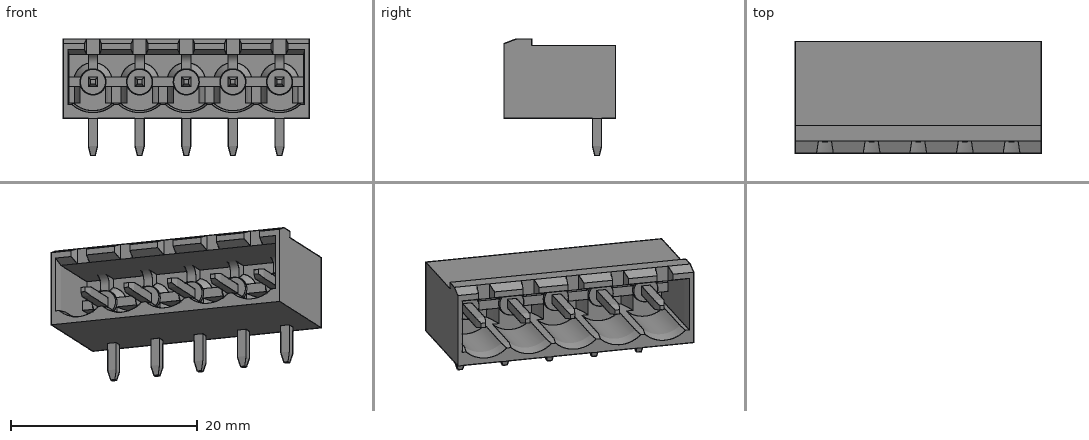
import cadquery as cq
import math

pin_count = 5
pitch = 5.0

housing_length = 26.4
housing_depth = 12.0
housing_height = 7.8
lip_height = 8.5
lip_depth = 3.0
lip_bevel_depth = 1.3
lip_bevel_drop = 0.5

mouth_side_wall = 0.5
mouth_floor_z = 1.5
mouth_ceiling_z = 7.35
lead_in_depth = 1.3
side_draft = 0.12
ceiling_drop = 0.5
cavity_depth = 8.7
cavity_floor_z = mouth_floor_z + side_draft
cavity_ceiling_z = mouth_ceiling_z - ceiling_drop
mouth_length = housing_length - 2 * mouth_side_wall
cavity_length = mouth_length - 2 * side_draft

channel_mouth_radius = 3.3
channel_radius = 3.08

pin_width = 1.0
pin_tip_width = 0.5
pin_taper = 1.0
pin_axis_z = 3.9
pin_tip_y = 1.2
leg_y = 10.0
leg_length = 4.0

support_front_y = 7.5
boss_front_y = 7.2
boss_nose_radius = 1.35
boss_radius = 1.4
boss_base_radius = 2.07
pillar_front_width = 2.74
pillar_middle_width = 3.24
pillar_back_width = 4.0
bar_height = 1.04
rib_width = 1.0
rib_curve_radius = 0.95
recess_depth = 9.9
recess_ceiling_z = pin_axis_z - bar_height / 2

notch_mouth_width = 1.8
notch_back_width = 1.4

pin_positions = [(i - (pin_count - 1) / 2) * pitch for i in range(pin_count)]


def box(x_range, y_range, z_range):
    """Axis-aligned box spanning the given (low, high) ranges."""
    spans = (x_range, y_range, z_range)
    size = [high - low for low, high in spans]
    corner = [low for low, high in spans]
    return cq.Workplane("XY").box(*size, centered=False).translate(tuple(corner))


def centered(width, middle=0.0):
    """Range of the given width about a middle position."""
    return (middle - width / 2, middle + width / 2)


def cylinder(x, radius, y_start, y_end):
    """Cylinder about a pin axis, running in +Y."""
    axis = cq.Vector(0, 1, 0)
    start = cq.Vector(x, y_start, pin_axis_z)
    return cq.Workplane(cq.Solid.makeCylinder(radius, y_end - y_start, start, axis))


def cone(x, start_radius, end_radius, y_start, y_end):
    """Cone about a pin axis, running in +Y."""
    axis = cq.Vector(0, 1, 0)
    start = cq.Vector(x, y_start, pin_axis_z)
    return cq.Workplane(cq.Solid.makeCone(start_radius, end_radius, y_end - y_start, start, axis))


def make_shell():
    """Housing block with the raised, bevelled lip along its front top edge."""
    profile = [
        (0, 0),
        (housing_depth, 0),
        (housing_depth, housing_height),
        (lip_depth, housing_height),
        (lip_depth, lip_height),
        (lip_bevel_depth, lip_height),
        (0, lip_height - lip_bevel_drop),
    ]
    return cq.Workplane("YZ").polyline(profile).close().extrude(housing_length / 2, both=True)


def make_cavity():
    """Plug cavity: tapered mouth followed by a straight pocket."""
    mouth_middle_z = (mouth_floor_z + mouth_ceiling_z) / 2
    cavity_middle_z = (cavity_floor_z + cavity_ceiling_z) / 2
    mouth = (
        cq.Workplane("XZ")
        .center(0, mouth_middle_z)
        .rect(mouth_length, mouth_ceiling_z - mouth_floor_z)
        .workplane(offset=-lead_in_depth)
        .center(0, cavity_middle_z - mouth_middle_z)
        .rect(cavity_length, cavity_ceiling_z - cavity_floor_z)
        .loft(ruled=True)
    )
    pocket = box(
        centered(cavity_length),
        (lead_in_depth, cavity_depth),
        (cavity_floor_z, cavity_ceiling_z),
    )
    return mouth.union(pocket)


def make_channel(x):
    """Round channel along a pin axis, kept below the axis so it only cuts the floor."""
    mouth = cone(x, channel_mouth_radius, channel_radius, 0, lead_in_depth)
    channel = mouth.union(cylinder(x, channel_radius, lead_in_depth, support_front_y))
    below_axis = box(centered(pitch, x), (0, support_front_y), (0, (cavity_floor_z + pin_axis_z) / 2))
    return channel.intersect(below_axis)


def make_notch(x):
    """Key notch through the lip, narrowing towards the back."""
    mouth = notch_mouth_width / 2
    back = notch_back_width / 2
    outline = [(x - mouth, 0), (x + mouth, 0), (x + back, lip_bevel_depth), (x - back, lip_bevel_depth)]
    base_z = (cavity_ceiling_z + pin_axis_z) / 2
    return cq.Workplane("XY").workplane(offset=base_z).polyline(outline).close().extrude(lip_height - base_z)


def make_boss(x):
    """Boss around a pin: short, slightly drafted nose on a conical root that only exists above the axis."""
    above_axis = box(centered(pitch, x), (support_front_y, cavity_depth), (pin_axis_z, cavity_ceiling_z))
    root = cone(x, boss_radius, boss_base_radius, support_front_y, cavity_depth).intersect(above_axis)
    return root.union(cone(x, boss_nose_radius, boss_radius, boss_front_y, support_front_y))


def make_pillar(x):
    """Pillar carrying a boss from the recess floor, flaring in two steps towards the back."""
    sections = [
        (pillar_front_width / 2, support_front_y),
        (pillar_middle_width / 2, cavity_depth),
        (pillar_back_width / 2, recess_depth),
    ]
    right_side = [(x + half_width, y) for half_width, y in sections]
    left_side = [(x - half_width, y) for half_width, y in reversed(sections)]
    return (
        cq.Workplane("XY")
        .workplane(offset=cavity_floor_z)
        .polyline(right_side + left_side)
        .close()
        .extrude(recess_ceiling_z - cavity_floor_z)
    )


def make_rib(x):
    """Upright rib above a boss, curving forward into the cavity ceiling."""
    bow = rib_curve_radius * (1 - math.sqrt(0.5))
    return (
        cq.Workplane("YZ")
        .workplane(offset=x - rib_width / 2)
        .moveTo(cavity_depth, pin_axis_z)
        .lineTo(support_front_y, pin_axis_z)
        .lineTo(support_front_y, cavity_ceiling_z - rib_curve_radius)
        .threePointArc(
            (support_front_y - bow, cavity_ceiling_z - bow),
            (support_front_y - rib_curve_radius, cavity_ceiling_z),
        )
        .lineTo(cavity_depth, cavity_ceiling_z)
        .close()
        .extrude(rib_width)
    )


def make_taper():
    """Square taper standing on XY, centred on the origin and narrowing upwards."""
    return (
        cq.Workplane("XY")
        .rect(pin_width, pin_width)
        .workplane(offset=pin_taper)
        .rect(pin_tip_width, pin_tip_width)
        .loft(ruled=True)
    )


def make_pin(x):
    """Right-angle pin with tapered contact and solder ends."""
    contact_end_y = leg_y + pin_width / 2
    leg_top_z = pin_axis_z + pin_width / 2
    taper_y = pin_tip_y + pin_taper
    taper_z = pin_taper - leg_length
    contact = box(centered(pin_width, x), (taper_y, contact_end_y), centered(pin_width, pin_axis_z))
    leg = box(centered(pin_width, x), centered(pin_width, leg_y), (taper_z, leg_top_z))
    contact_tip = make_taper().rotate((0, 0, 0), (1, 0, 0), 90).translate((x, taper_y, pin_axis_z))
    leg_tip = make_taper().rotate((0, 0, 0), (1, 0, 0), 180).translate((x, leg_y, taper_z))
    return contact.union(leg).union(contact_tip).union(leg_tip)


recess = box(
    centered(cavity_length),
    (cavity_depth, recess_depth),
    (cavity_floor_z, recess_ceiling_z),
)
result = make_shell().cut(make_cavity()).cut(recess)
for pin_x in pin_positions:
    result = result.cut(make_channel(pin_x)).cut(make_notch(pin_x))

cross_bar = box(
    centered(cavity_length),
    (support_front_y, cavity_depth),
    centered(bar_height, pin_axis_z),
)
result = result.union(cross_bar)
for pin_x in pin_positions:
    for feature in (make_pillar, make_rib, make_boss, make_pin):
        result = result.union(feature(pin_x))